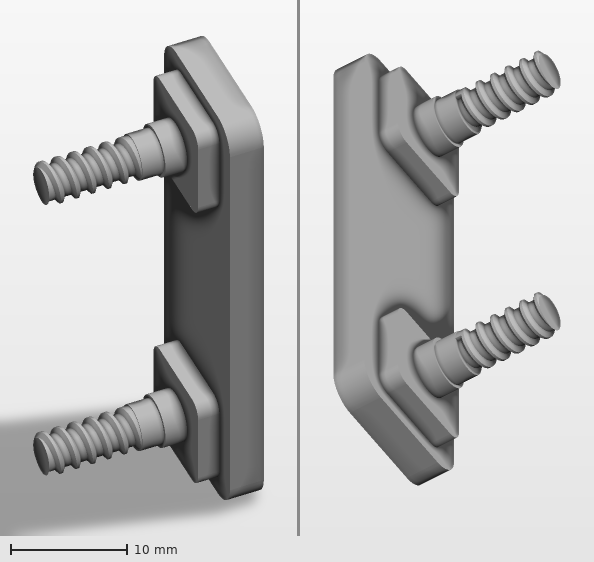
import cadquery as cq

plate_width = 13.95
plate_height = 44.2
plate_thickness = 3.2
plate_corner_radius = 2.55

pad_side = 9.45
pad_thickness = 2.0
pad_corner_radius = 1.33
pin_spacing = 31.75

collar_diameter = 4.8
neck_diameter = 4.2
step_length = 2.05
overall_depth = 17.75
thread_length = overall_depth - plate_thickness - pad_thickness - 2 * step_length

thread_diameter = 4.0
core_diameter = 3.1
thread_pitch = 1.5
groove_root_width = 0.6
groove_mouth_width = 1.25
groove_overcut = 0.1


def rounded_block(width, height, thickness, corner_radius):
    """Block growing toward -Y from Y = 0, with its corners rounded in the XZ plane."""
    block = cq.Workplane("XZ").rect(width, height).extrude(thickness)
    return block.edges("|Y").fillet(corner_radius)


def threaded_shank():
    """Threaded shank along +Z, with the groove starting at its base on the -X side."""
    core_radius = core_diameter / 2
    crest_radius = thread_diameter / 2
    cutter_radius = crest_radius + groove_overcut
    flank_slope = (groove_mouth_width - groove_root_width) / 2 / (crest_radius - core_radius)
    root_half = groove_root_width / 2
    outer_half = groove_mouth_width / 2 + flank_slope * groove_overcut

    helix = cq.Wire.makeHelix(thread_pitch, thread_length + thread_pitch, core_radius)
    groove = (
        cq.Workplane("XZ")
        .polyline([
            (core_radius, -root_half),
            (cutter_radius, -outer_half),
            (cutter_radius, outer_half),
            (core_radius, root_half),
        ])
        .close()
        .sweep(cq.Workplane(obj=helix), isFrenet=True)
        .rotate((0, 0, 0), (0, 0, 1), 180)
    )
    return cq.Workplane("XY").circle(crest_radius).extrude(thread_length).cut(groove)


def stepped_pin():
    """Collar, neck and threaded shank in line, pointing toward -Y from Y = 0."""
    collar = cq.Workplane("XY").circle(collar_diameter / 2).extrude(step_length)
    neck = collar.faces(">Z").workplane().circle(neck_diameter / 2).extrude(step_length)
    pin = neck.union(threaded_shank().translate((0, 0, 2 * step_length)))
    return pin.rotate((0, 0, 0), (1, 0, 0), 90)


pad = rounded_block(pad_side, pad_side, pad_thickness, pad_corner_radius)
mount = pad.union(stepped_pin().translate((0, -pad_thickness, 0)))

result = rounded_block(plate_width, plate_height, plate_thickness, plate_corner_radius)
for side in (-1, 1):
    result = result.union(mount.translate((0, -plate_thickness, side * pin_spacing / 2)))